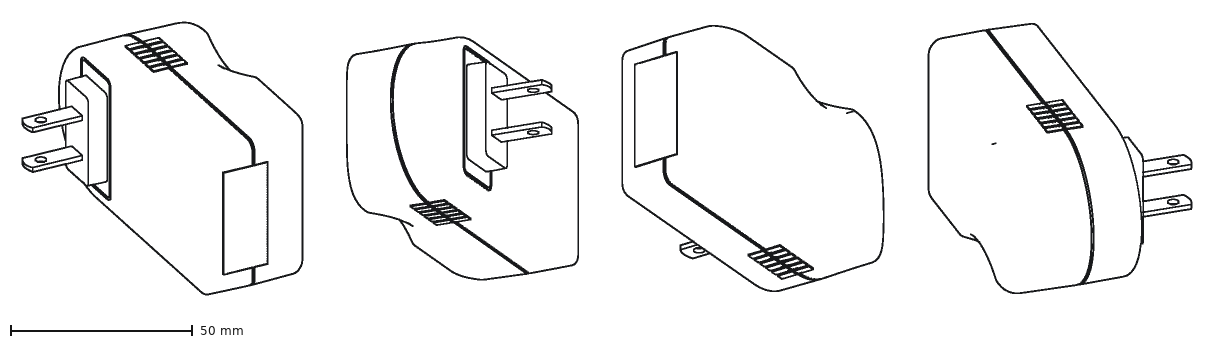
import cadquery as cq

TOTAL_LENGTH = 89.5

HALF_HEIGHT = 22.7
HOUSING_LENGTH = 89.3
FRONT_DEPTH = 14.9
BACK_DEPTH = 19.7
DRAFT_ANGLE = 1.0
SIDE_CORNER_RADIUS = 3.2
RIM_RADIUS = 1.8
BACK_ZONE_Y = 11.6

CROWN_RADIUS = 44.8
SHOULDER_START = 77.35
SHOULDER_RADIUS = 12.9

SCOOP_X = 39.1
SCOOP_RADIUS = 30.4
SCOOP_SIDE_Y = 11.8
SCOOP_BACK_Z = 16.1
SCOOP_EDGE_RADIUS = 0.45

RIB_COUNT = 6
RIB_WIDTH = 2.15
RIB_ROW_LENGTH = 16.7
RIB_PITCH = (RIB_ROW_LENGTH - RIB_WIDTH) / (RIB_COUNT - 1)
RIB_LENGTH = 10.4
RIB_TOP = 23.0

PARTING_WIDTH = 0.6
PARTING_DEPTH = 0.3
FRAME_LENGTH = 17.9
FRAME_HEIGHT = 37.6
FRAME_CORNER_RADIUS = 2.15
FRAME_WIDTH = 0.8
FRAME_DEPTH = 0.4

PLUG_X = 23.6
PLUG_LENGTH = 13.7
PLUG_HEIGHT = 27.75
PLUG_DEPTH = 5.8
PLUG_CORNER_RADIUS = 1.4

PRONG_WIDTH = 6.3
PRONG_THICKNESS = 1.4
PRONG_OFFSET = 6.2
PRONG_END = 36.9
TIP_LENGTH = 0.9
TIP_BEVEL = 0.2
PRONG_HOLE_DIAMETER = 3.0
PRONG_HOLE_FROM_TIP = 5.0

PAD_TOP_Y = 4.2
PAD_BOTTOM_Y = -9.5
PAD_HEIGHT = 31.7


def outline(plane, inset=0.0):
    """D-shaped housing outline, shrunk evenly by inset."""
    radius = HALF_HEIGHT - inset
    end_x = HOUSING_LENGTH - inset
    return (
        cq.Workplane(plane)
        .moveTo(HALF_HEIGHT, radius)
        .threePointArc((inset, 0), (HALF_HEIGHT, -radius))
        .lineTo(end_x, -radius)
        .lineTo(end_x, radius)
        .close()
    )


def crown_envelope():
    """Block behind the parting plane with the crowned back face, as tall as the housing."""
    arc_end_y = BACK_DEPTH - CROWN_RADIUS + (CROWN_RADIUS**2 - HALF_HEIGHT**2) ** 0.5
    shoulder_run = HOUSING_LENGTH - SHOULDER_START
    shoulder_end_y = BACK_DEPTH - SHOULDER_RADIUS + (SHOULDER_RADIUS**2 - shoulder_run**2) ** 0.5
    return (
        cq.Workplane("XY")
        .moveTo(0, 0)
        .lineTo(0, arc_end_y)
        .radiusArc((HALF_HEIGHT, BACK_DEPTH), CROWN_RADIUS)
        .lineTo(SHOULDER_START, BACK_DEPTH)
        .radiusArc((HOUSING_LENGTH, shoulder_end_y), SHOULDER_RADIUS)
        .lineTo(HOUSING_LENGTH, 0)
        .close()
        .extrude(HALF_HEIGHT, both=True)
    )


def housing_half(distance):
    """One drafted half, running from the parting plane by a signed distance along -Y."""
    half = outline("XZ").extrude(distance, taper=DRAFT_ANGLE)
    return half.edges("not #Y").edges(">X").fillet(SIDE_CORNER_RADIUS)


def back_zone(start_x, end_x):
    """Selector for edges or faces centred near the back face between two X places."""
    return cq.selectors.BoxSelector(
        (start_x, BACK_ZONE_Y, -HALF_HEIGHT), (end_x, BACK_DEPTH + RIM_RADIUS, HALF_HEIGHT)
    )


def housing():
    """Front and crowned back halves with rounded outer rims."""
    front = housing_half(FRONT_DEPTH).faces("<Y").edges().fillet(RIM_RADIUS)
    back = housing_half(-BACK_DEPTH).intersect(crown_envelope())
    back_edges = back.edges(back_zone(0, HOUSING_LENGTH))
    end_edge = back_edges.edges("|Z").edges(">X")
    rim = back_edges.edges("not |Z").add(end_edge)
    return front.union(rim.fillet(RIM_RADIUS))


def scoop_cutter(side):
    """Slanted cylinder that hollows the back edge on one side (+1 or -1 in Z)."""
    side_point = cq.Vector(SCOOP_X, SCOOP_SIDE_Y, side * HALF_HEIGHT)
    back_point = cq.Vector(SCOOP_X, BACK_DEPTH, side * SCOOP_BACK_Z)
    along = (back_point - side_point).normalized()
    outward = cq.Vector(0, abs(along.z), side * along.y)
    reach = 35.8
    start = side_point + outward * SCOOP_RADIUS - along * reach
    return cq.Workplane(cq.Solid.makeCylinder(SCOOP_RADIUS, 2 * reach, start, along))


def frame_block(length, height, corner_radius):
    """Rounded block on the plug axis, reaching from the front face to the groove floor."""
    return (
        cq.Workplane("XZ", origin=(PLUG_X, -FRONT_DEPTH, 0))
        .rect(length, height)
        .extrude(-FRAME_DEPTH)
        .edges("|Y")
        .fillet(corner_radius)
    )


def grip_ribs():
    """Row of ribs on the top and bottom, starting where the round end begins."""
    ribs = cq.Workplane("XY")
    for index in range(RIB_COUNT):
        rib = cq.Workplane("XY").box(
            RIB_WIDTH, RIB_LENGTH, 2 * RIB_TOP, centered=(False, True, True)
        )
        ribs = ribs.add(rib.translate((HALF_HEIGHT + index * RIB_PITCH, 0, 0)))
    return ribs.combine()


def parting_groove():
    """Ring that cuts a shallow groove all around the parting plane."""
    margin = 1.8
    ring = outline("XZ", -margin).extrude(PARTING_WIDTH / 2, both=True)
    core = (
        outline("XZ", PARTING_DEPTH)
        .extrude(PARTING_WIDTH / 2, both=True)
        .edges("|Y and >X")
        .fillet(SIDE_CORNER_RADIUS)
    )
    return ring.cut(core)


def frame_groove():
    """Shallow rounded-rectangle groove around the plug block."""
    outer = frame_block(FRAME_LENGTH, FRAME_HEIGHT, FRAME_CORNER_RADIUS)
    inner = frame_block(
        FRAME_LENGTH - 2 * FRAME_WIDTH,
        FRAME_HEIGHT - 2 * FRAME_WIDTH,
        FRAME_CORNER_RADIUS - FRAME_WIDTH,
    )
    return outer.cut(inner)


def plug_block():
    """Slightly drafted block that carries the prongs."""
    return (
        cq.Workplane("XZ", origin=(PLUG_X, -FRONT_DEPTH, 0))
        .rect(PLUG_LENGTH, PLUG_HEIGHT)
        .extrude(PLUG_DEPTH, taper=DRAFT_ANGLE)
        .edges("not #Y")
        .fillet(PLUG_CORNER_RADIUS)
    )


def prong(side):
    """Flat prong with an arched, bevelled tip and a cross hole (side is +1 or -1 in Z)."""
    half_width = PRONG_WIDTH / 2
    half_thickness = PRONG_THICKNESS / 2
    shoulder_y = TIP_LENGTH - PRONG_END
    blade = (
        cq.Workplane("XY", origin=(PLUG_X, 0, side * PRONG_OFFSET))
        .moveTo(-half_width, -FRONT_DEPTH)
        .lineTo(-half_width, shoulder_y)
        .threePointArc((0, -PRONG_END), (half_width, shoulder_y))
        .lineTo(half_width, -FRONT_DEPTH)
        .close()
        .extrude(half_thickness, both=True)
    )
    thickness_profile = (
        cq.Workplane("YZ", origin=(PLUG_X, 0, side * PRONG_OFFSET))
        .moveTo(-FRONT_DEPTH, half_thickness)
        .lineTo(shoulder_y, half_thickness)
        .lineTo(-PRONG_END, half_thickness - TIP_BEVEL)
        .lineTo(-PRONG_END, TIP_BEVEL - half_thickness)
        .lineTo(shoulder_y, -half_thickness)
        .lineTo(-FRONT_DEPTH, -half_thickness)
        .close()
        .extrude(half_width, both=True)
    )
    hole = (
        cq.Workplane("XY", origin=(PLUG_X, PRONG_HOLE_FROM_TIP - PRONG_END, side * PRONG_OFFSET))
        .circle(PRONG_HOLE_DIAMETER / 2)
        .extrude(PRONG_THICKNESS, both=True)
    )
    return blade.intersect(thickness_profile).cut(hole)


def end_pad():
    """Thin raised pad on the flat end."""
    thickness = 1.8
    pad = cq.Workplane("XY").box(
        thickness, PAD_TOP_Y - PAD_BOTTOM_Y, PAD_HEIGHT, centered=(False, False, True)
    )
    return pad.translate((TOTAL_LENGTH - thickness, PAD_BOTTOM_Y, 0))


def scooped_housing():
    """Housing with both finger scoops cut and their edges softened."""
    body = housing()
    for side in (1, -1):
        body = body.cut(scoop_cutter(side))
    near_middle = back_zone(SCOOP_X - RIM_RADIUS, SCOOP_X + RIM_RADIUS)
    scoop_faces = body.faces("%CYLINDER").faces(near_middle)
    return scoop_faces.edges().fillet(SCOOP_EDGE_RADIUS)


result = scooped_housing().union(grip_ribs()).cut(parting_groove()).cut(frame_groove())
result = result.union(end_pad()).union(plug_block())
for side in (1, -1):
    result = result.union(prong(side))